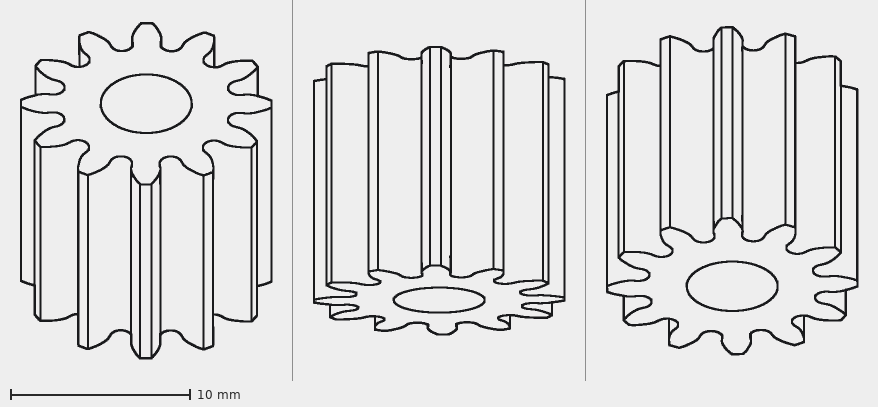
import cadquery as cq
import math

tooth_count = 12
tip_diameter = 14.0
pressure_angle = math.radians(20)
face_width = 12.7
bore_diameter = 5.09
dedendum_in_modules = 1.25
flank_point_count = 6

module = tip_diameter / (tooth_count + 2)
tip_radius = tip_diameter / 2
pitch_radius = module * tooth_count / 2
root_radius = pitch_radius - dedendum_in_modules * module
base_radius = pitch_radius * math.cos(pressure_angle)
tooth_pitch = 2 * math.pi / tooth_count


def involute(angle):
    return math.tan(angle) - angle


def polar_point(radius, angle):
    return radius * math.cos(angle), radius * math.sin(angle)


def flank_pressure_angle(radius):
    return math.acos(min(1.0, base_radius / radius))


def gap_half_angle(radius):
    """Half the angle between the two flanks of a gap at a given radius."""
    return tooth_pitch / 4 - involute(pressure_angle) + involute(flank_pressure_angle(radius))


wall_half_angle = gap_half_angle(base_radius)
root_arc_center = root_radius / (1 - math.sin(wall_half_angle))
root_arc_end_radius = root_arc_center * math.cos(wall_half_angle)


def flank_points(gap_angle, side):
    """Involute points from the base circle out to the tip circle."""
    points = []
    for index in range(flank_point_count):
        fraction = (index / (flank_point_count - 1)) ** 2
        radius = base_radius + (tip_radius - base_radius) * fraction
        points.append(polar_point(radius, gap_angle + side * gap_half_angle(radius)))
    return points


def flank_direction(radius, gap_angle, side):
    """Outward direction of an involute flank at a given radius."""
    return polar_point(1, gap_angle + side * (gap_half_angle(radius) + flank_pressure_angle(radius)))


def reversed_direction(direction):
    return -direction[0], -direction[1]


def gear_outline():
    outline = cq.Workplane("XY").moveTo(*flank_points(0, -1)[-1])
    for index in range(tooth_count):
        gap_angle = index * tooth_pitch
        inward_flank = flank_points(gap_angle, -1)[::-1]
        inward_tangents = [
            reversed_direction(flank_direction(tip_radius, gap_angle, -1)),
            reversed_direction(flank_direction(base_radius, gap_angle, -1)),
        ]
        outward_flank = flank_points(gap_angle, 1)
        outward_tangents = [
            flank_direction(base_radius, gap_angle, 1),
            flank_direction(tip_radius, gap_angle, 1),
        ]
        next_flank_tip = flank_points(gap_angle + tooth_pitch, -1)[-1]

        outline = outline.spline(inward_flank[1:], tangents=inward_tangents, includeCurrent=True)
        outline = outline.lineTo(*polar_point(root_arc_end_radius, gap_angle - wall_half_angle))
        outline = outline.threePointArc(
            polar_point(root_radius, gap_angle),
            polar_point(root_arc_end_radius, gap_angle + wall_half_angle),
        )
        outline = outline.lineTo(*outward_flank[0])
        outline = outline.spline(outward_flank[1:], tangents=outward_tangents, includeCurrent=True)
        outline = outline.threePointArc(
            polar_point(tip_radius, gap_angle + tooth_pitch / 2),
            next_flank_tip,
        )
    return outline.close()


gear_body = gear_outline().extrude(face_width)
bore = cq.Workplane("XY").circle(bore_diameter / 2).extrude(face_width)
result = gear_body.cut(bore)